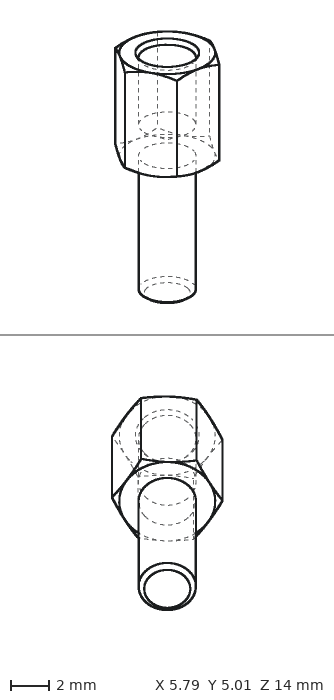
import cadquery as cq
import math

total_length = 14.0
across_flats = 5.01
head_length = 6.0
stud_diameter = 3.0
tip_chamfer_radial = 0.3
tip_chamfer_length = 0.21
head_chamfer_angle = 30.0
bore_diameter = 3.0
bore_depth = 4.2
bore_mouth_diameter = 3.33
bore_mouth_depth = 0.28
drill_point_angle = 120.0

across_corners = across_flats / math.cos(math.radians(30))
head_bottom = total_length - head_length
flat_radius = across_flats / 2
corner_radius = across_corners / 2
corner_drop = (corner_radius - flat_radius) * math.tan(math.radians(head_chamfer_angle))


def revolve_profile(points):
    """Revolve a closed (radius, height) outline about the Z axis."""
    return cq.Workplane("XZ").polyline(points).close().revolve(360, (0, 0), (0, 1))


def make_head():
    """Hexagon with corners on X, its corners bevelled conically at both ends."""
    hexagon = cq.Workplane("XY").workplane(offset=head_bottom).polygon(6, across_corners).extrude(head_length)
    bevel_envelope = revolve_profile([
        (0, head_bottom),
        (flat_radius, head_bottom),
        (corner_radius, head_bottom + corner_drop),
        (corner_radius, total_length - corner_drop),
        (flat_radius, total_length),
        (0, total_length),
    ])
    return hexagon.intersect(bevel_envelope)


def make_stud():
    """Plain round stud with a chamfered tip."""
    stud_radius = stud_diameter / 2
    return revolve_profile([
        (0, 0),
        (stud_radius - tip_chamfer_radial, 0),
        (stud_radius, tip_chamfer_length),
        (stud_radius, head_bottom),
        (0, head_bottom),
    ])


def make_bore():
    """Blind bore with a tapered mouth and a conical drill point."""
    bore_radius = bore_diameter / 2
    bore_bottom = total_length - bore_depth
    point_depth = bore_radius / math.tan(math.radians(drill_point_angle / 2))
    return revolve_profile([
        (0, total_length),
        (bore_mouth_diameter / 2, total_length),
        (bore_radius, total_length - bore_mouth_depth),
        (bore_radius, bore_bottom),
        (0, bore_bottom - point_depth),
    ])


result = make_head().union(make_stud()).cut(make_bore())